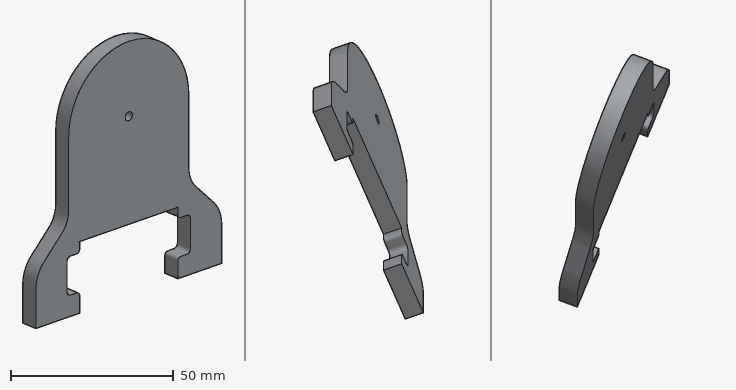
import cadquery as cq

thickness = 6.0
height = 85.0
base_width = 77.35

dome_radius = 25.0
dome_center_z = height - dome_radius
hole_diameter = 3.0

shoulder_bottom_z = 17.9
shoulder_top_z = shoulder_bottom_z + base_width / 2 - dome_radius
shoulder_outer_radius = 12.0
shoulder_inner_radius = 10.0

opening_width = 40.8
opening_height = 23.9
recess_width = 51.3
recess_bottom_z = 7.1
recess_top_z = 20.15
recess_radius = 1.5
lip_radius = 1.3


def edges_at(y, z):
    """Select the two edges along X at (+y, z) and (-y, z)."""
    tolerance = 0.1

    def box(side):
        low = (-thickness, side * y - tolerance, z - tolerance)
        high = (thickness, side * y + tolerance, z + tolerance)
        return cq.selectors.BoxSelector(low, high)

    return box(1) + box(-1)


def make_plate():
    half_base = base_width / 2
    plate = (
        cq.Workplane("YZ")
        .moveTo(-half_base, 0)
        .lineTo(half_base, 0)
        .lineTo(half_base, shoulder_bottom_z)
        .lineTo(dome_radius, shoulder_top_z)
        .lineTo(dome_radius, dome_center_z)
        .threePointArc((0, height), (-dome_radius, dome_center_z))
        .lineTo(-dome_radius, shoulder_top_z)
        .lineTo(-half_base, shoulder_bottom_z)
        .close()
        .extrude(thickness / 2, both=True)
    )
    plate = plate.edges(edges_at(half_base, shoulder_bottom_z)).fillet(shoulder_outer_radius)
    return plate.edges(edges_at(dome_radius, shoulder_top_z)).fillet(shoulder_inner_radius)


def cut_opening(plate):
    recess_height = recess_top_z - recess_bottom_z
    opening = cq.Workplane("XY").box(
        thickness, opening_width, opening_height, centered=(True, True, False)
    )
    recess = (
        cq.Workplane("XY", origin=(0, 0, recess_bottom_z))
        .box(thickness, recess_width, recess_height, centered=(True, True, False))
        .edges("|X")
        .fillet(recess_radius)
    )
    plate = plate.cut(opening).cut(recess)
    for lip_z in (recess_bottom_z, recess_top_z):
        plate = plate.edges(edges_at(opening_width / 2, lip_z)).fillet(lip_radius)
    return plate


def cut_hole(plate):
    hole = (
        cq.Workplane("YZ")
        .center(0, dome_center_z)
        .circle(hole_diameter / 2)
        .extrude(thickness / 2, both=True)
    )
    return plate.cut(hole)


result = cut_hole(cut_opening(make_plate()))